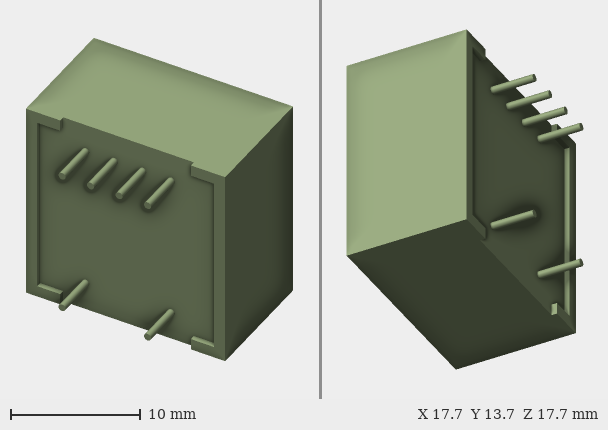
import cadquery as cq

case_side = 17.7
case_depth = 10.5
overall_depth = 13.72

recess_depth = 0.46
wall = 1.0
foot_length = 3.05

pin_diameter = 0.62
pin_pitch = 2.53
row_spacing = 5 * pin_pitch
upper_pin_steps = (-1.5, -0.5, 0.5, 1.5)
lower_pin_steps = (-1.5, 1.5)

pin_tip_y = 0.0
pin_face_y = overall_depth - case_depth
recess_floor_y = pin_face_y + recess_depth


def block(width, depth, height, front_y):
    """Box centred on X and Z, running toward +Y from front_y."""
    return (
        cq.Workplane("XY")
        .box(width, depth, height, centered=(True, False, True))
        .translate((0, front_y, 0))
    )


def make_case():
    case = block(case_side, case_depth, case_side, pin_face_y)
    inner_side = case_side - 2 * wall
    opening_width = case_side - 2 * foot_length
    pocket = block(inner_side, recess_depth, inner_side, pin_face_y)
    opening = block(opening_width, recess_depth, case_side, pin_face_y)
    return case.cut(pocket).cut(opening)


def make_pins():
    upper_row = [(step * pin_pitch, row_spacing / 2) for step in upper_pin_steps]
    lower_row = [(step * pin_pitch, -row_spacing / 2) for step in lower_pin_steps]
    return (
        cq.Workplane("XZ", origin=(0, recess_floor_y, 0))
        .pushPoints(upper_row + lower_row)
        .circle(pin_diameter / 2)
        .extrude(recess_floor_y - pin_tip_y)
    )


result = make_case().union(make_pins())